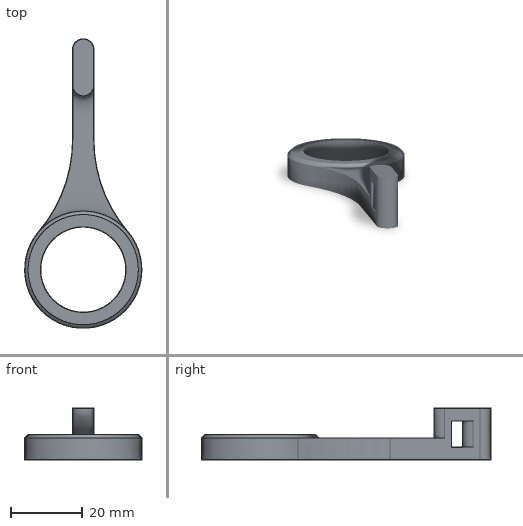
import cadquery as cq
import math

ring_diameter = 33.0
bore_diameter = 24.0
ring_height = 7.2
ring_chamfer = 1.0
ring_radius = ring_diameter / 2

total_length = 81.5
arm_width = 6.0
arm_height = ring_height - ring_chamfer
flare_radius = 40.0
half_width = arm_width / 2
tip_y = total_length - ring_radius

post_length = 16.05
post_height = 14.6
post_center_y = tip_y - post_length / 2

slot_length = 6.0
slot_height = 7.3
slot_base_z = (post_height - slot_height) / 2
slot_start_y = post_center_y - slot_length / 2
slot_end_y = post_center_y + slot_length / 2


def make_ring():
    return cq.Workplane("XY").circle(ring_radius).extrude(ring_height).faces(">Z").edges().chamfer(ring_chamfer)


def make_arm():
    flare_x = half_width + flare_radius
    center_distance = ring_radius + flare_radius
    flare_y = math.sqrt(center_distance**2 - flare_x**2)
    ring_x = flare_x * ring_radius / center_distance
    ring_y = flare_y * ring_radius / center_distance
    middle_angle = math.atan2(flare_y, flare_x) / 2
    middle_x = flare_x - flare_radius * math.cos(middle_angle)
    middle_y = flare_y - flare_radius * math.sin(middle_angle)
    straight_end_y = tip_y - half_width
    return (
        cq.Workplane("XY")
        .moveTo(0, 0)
        .lineTo(ring_x, ring_y)
        .threePointArc((middle_x, middle_y), (half_width, flare_y))
        .lineTo(half_width, straight_end_y)
        .threePointArc((0, tip_y), (-half_width, straight_end_y))
        .lineTo(-half_width, flare_y)
        .threePointArc((-middle_x, middle_y), (-ring_x, ring_y))
        .close()
        .extrude(arm_height)
    )


def make_post():
    return (
        cq.Workplane("XY")
        .center(0, post_center_y)
        .slot2D(post_length, arm_width, 90)
        .extrude(post_height)
    )


def make_slot():
    return (
        cq.Workplane("XY", origin=(0, 0, slot_base_z))
        .moveTo(-half_width, slot_start_y)
        .lineTo(half_width, slot_start_y)
        .lineTo(half_width, slot_end_y)
        .threePointArc((0, slot_end_y - half_width), (-half_width, slot_end_y))
        .close()
        .extrude(slot_height)
    )


def make_bore():
    return cq.Workplane("XY").circle(bore_diameter / 2).extrude(ring_height)


result = make_ring().union(make_arm()).union(make_post()).cut(make_slot()).cut(make_bore())